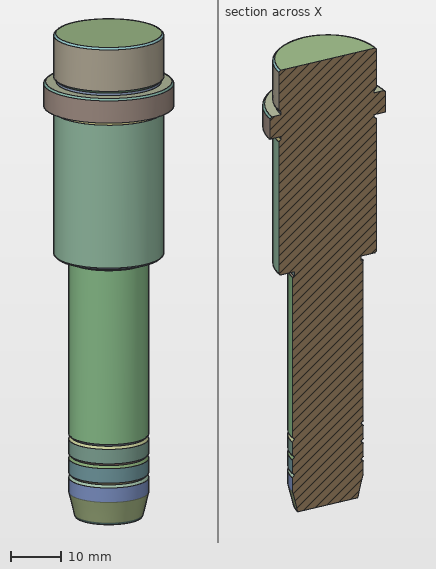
import cadquery as cq

total_height = 100.0
body_bottom = 54.0
flange_bottom = 85.0
flange_top = 90.0

flange_radius = 13.0
body_radius = 11.0
pin_radius = 8.0

relief_height = 1.0
collar_relief_depth = 0.5
pin_relief_depth = 0.5
relief_ramp = 0.5
edge_chamfer = 0.4

taper_height = 5.0
tip_radius = 6.9
tip_chamfer_width = 0.2
tip_chamfer_height = 0.4

groove_width = 1.0
groove_depth = 0.5
groove_pitch = 4.0
groove_count = 3
first_groove_center = 8.5


def stepped_profile():
    """Half section of the pin without the V-grooves, as (radius, height) points."""
    body_relief_radius = body_radius - collar_relief_depth
    pin_relief_radius = pin_radius - pin_relief_depth
    return [
        (0, 0),
        (tip_radius - tip_chamfer_width, 0),
        (tip_radius, tip_chamfer_height),
        (pin_radius, taper_height),
        (pin_radius, body_bottom - relief_height),
        (pin_relief_radius, body_bottom - relief_height),
        (pin_relief_radius, body_bottom),
        (body_radius - edge_chamfer, body_bottom),
        (body_radius, body_bottom + edge_chamfer),
        (body_radius, flange_bottom - relief_height),
        (body_relief_radius, flange_bottom - relief_height + relief_ramp),
        (body_relief_radius, flange_bottom),
        (flange_radius, flange_bottom),
        (flange_radius, flange_top - edge_chamfer),
        (flange_radius - edge_chamfer, flange_top),
        (body_relief_radius, flange_top),
        (body_relief_radius, flange_top + relief_height - relief_ramp),
        (body_radius, flange_top + relief_height),
        (body_radius, total_height - edge_chamfer),
        (body_radius - edge_chamfer, total_height),
        (0, total_height),
    ]


def revolve_about_z(points):
    """Revolve a closed (radius, height) outline about the Z axis."""
    return cq.Workplane("XZ").polyline(points).close().revolve(360, (0, 0), (0, 1))


def v_groove(center_height):
    """Ring that cuts one V-groove around the pin."""
    half_width = groove_width / 2
    return revolve_about_z([
        (pin_radius, center_height - half_width),
        (pin_radius - groove_depth, center_height),
        (pin_radius, center_height + half_width),
    ])


result = revolve_about_z(stepped_profile())
for index in range(groove_count):
    result = result.cut(v_groove(first_groove_center + index * groove_pitch))